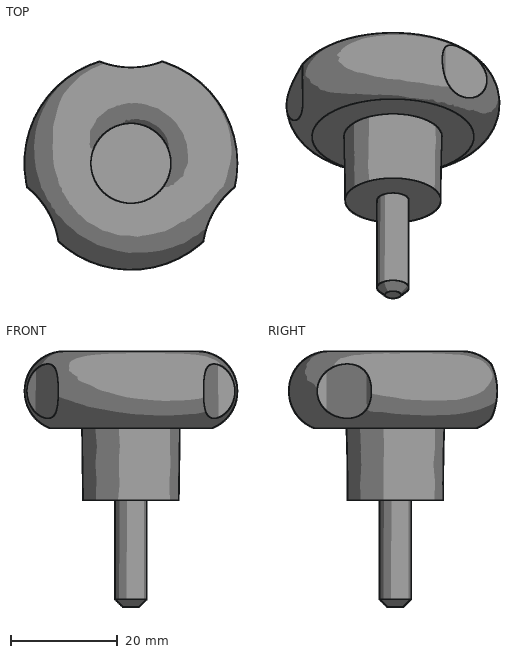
import cadquery as cq
import math

stud_length = 20.0
hub_height = 13.5
head_top = 28.0

head_radius = 20.0
ring_section_radius = 7.5
ring_centre_radius = head_radius - ring_section_radius
ring_centre_height = head_top - ring_section_radius
dish_floor_radius = 7.5

hub_bottom_radius = 9.0
hub_top_radius = 9.2

stud_diameter = 6.0
stud_chamfer = 1.5

notch_count = 3
notch_radius = 16.0
notch_floor_distance = 18.0
first_notch_angle = 90.0


def ring_half_chord(offset):
    """Half the chord of the ring section at a given offset from its centre."""
    return math.sqrt(ring_section_radius**2 - offset**2)


def make_head():
    """Revolved knob head with a dished top and a flat underside."""
    underside_radius = ring_centre_radius + ring_half_chord(ring_centre_height - hub_height)
    dish_floor_height = ring_centre_height + ring_half_chord(ring_centre_radius - dish_floor_radius)
    return (
        cq.Workplane("XZ")
        .moveTo(0, hub_height)
        .lineTo(underside_radius, hub_height)
        .threePointArc((head_radius, ring_centre_height), (dish_floor_radius, dish_floor_height))
        .lineTo(0, dish_floor_height)
        .close()
        .revolve(360, (0, 0, 0), (0, 1, 0))
    )


def make_notch_cutters():
    """Vertical cylinders that scoop the finger notches out of the rim."""
    return (
        cq.Workplane("XY")
        .workplane(offset=hub_height)
        .polarArray(notch_floor_distance + notch_radius, first_notch_angle, 360, notch_count)
        .circle(notch_radius)
        .extrude(head_top - hub_height)
    )


def make_hub():
    """Tapered hub under the head."""
    return (
        cq.Workplane("XY")
        .circle(hub_bottom_radius)
        .workplane(offset=hub_height)
        .circle(hub_top_radius)
        .loft()
    )


def make_stud():
    """Plain stud below the hub with a chamfered tip."""
    return (
        cq.Workplane("XY")
        .circle(stud_diameter / 2)
        .extrude(-stud_length)
        .faces("<Z")
        .chamfer(stud_chamfer)
    )


result = make_head().cut(make_notch_cutters()).union(make_hub()).union(make_stud())